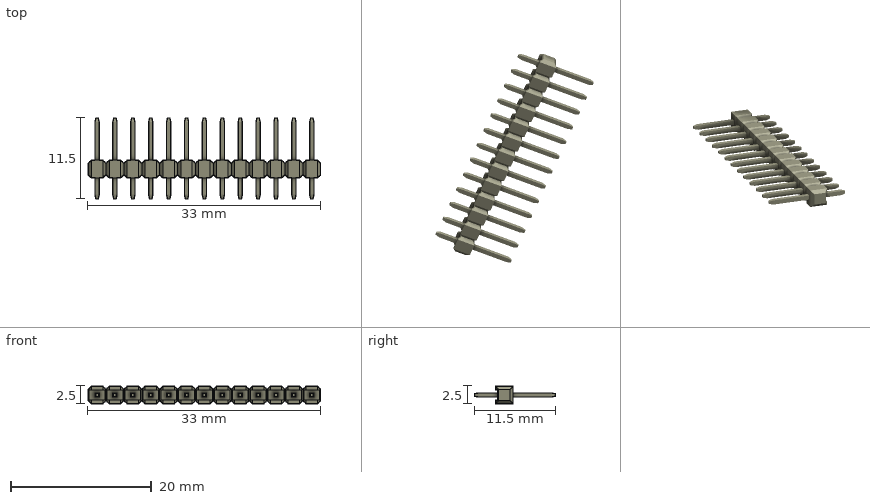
import cadquery as cq

total_length = 33.02
pin_count = 13
pitch = total_length / pin_count

block_depth = 2.5
block_height = 2.5
end_bevel_x = 0.45
end_bevel_y = 0.43
end_bevel_z = 0.45

groove_height = 1.5
groove_depth = 0.28

pin_width = 0.63
tip_width = 0.35
tip_length = 0.6
pin_front_reach = 3.0
pin_rear_reach = 6.0
pin_front_y = -block_depth / 2 - pin_front_reach
pin_rear_y = block_depth / 2 + pin_rear_reach


def bevelled_prism(plane, across, bevel_across, length):
    """Prism whose section is a pitch-wide rectangle with bevelled corners, centred on the plane."""
    half_x = pitch / 2
    half_across = across / 2
    flat_x = half_x - end_bevel_x
    flat_across = half_across - bevel_across
    outline = [
        (-flat_x, -half_across),
        (flat_x, -half_across),
        (half_x, -flat_across),
        (half_x, flat_across),
        (flat_x, half_across),
        (-flat_x, half_across),
        (-half_x, flat_across),
        (-half_x, -flat_across),
    ]
    return cq.Workplane(plane).polyline(outline).close().extrude(length / 2, both=True)


def make_block():
    """Housing block bevelled on every edge around its two X faces, with the front groove."""
    side_bevels = bevelled_prism("XY", block_depth, end_bevel_y, block_height)
    top_bevels = bevelled_prism("XZ", block_height, end_bevel_z, block_depth)
    groove = cq.Workplane("XY").box(pitch, 2 * groove_depth, groove_height)
    return side_bevels.intersect(top_bevels).cut(groove.translate((0, -block_depth / 2, 0)))


def make_tip(end_y, direction):
    """Tapered pin tip ending at end_y and pointing along direction (+1 or -1) in Y."""
    base_offset = -(end_y - direction * tip_length)
    return (
        cq.Workplane("XZ")
        .workplane(offset=base_offset)
        .rect(pin_width, pin_width)
        .workplane(offset=-direction * tip_length)
        .rect(tip_width, tip_width)
        .loft(ruled=True)
    )


def make_pin():
    """Square pin running through the block, tapered at both ends."""
    shank_length = pin_rear_y - pin_front_y - 2 * tip_length
    middle_y = (pin_front_y + pin_rear_y) / 2
    shank = cq.Workplane("XY").box(pin_width, shank_length, pin_width).translate((0, middle_y, 0))
    return shank.union(make_tip(pin_front_y, -1)).union(make_tip(pin_rear_y, 1))


unit = make_block().union(make_pin())

result = unit
for index in range(1, pin_count):
    result = result.union(unit.translate((index * pitch, 0, 0)))